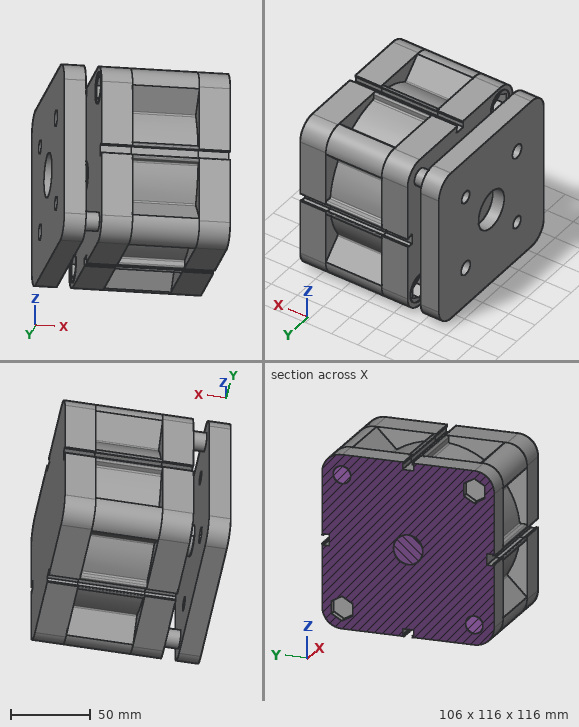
import cadquery as cq
import math


side = 116.0
half_side = side / 2
corner_radius = 13.6
corner_center = half_side - corner_radius

side_angles = (0, 90, 180, 270)
corner_angles = (45, 135, 225, 315)

plate_thickness = 13.9
plate_gap = 10.0
cap_thickness = 19.7
tube_length = 42.7
front_cap_x = plate_thickness + plate_gap
tube_x = front_cap_x + cap_thickness
rear_cap_x = tube_x + tube_length

recess_diameter = 28.3
recess_depth = 8.7
plate_hole_offset = 28.3
small_hole_diameter = 8.7
large_hole_diameter = 10.1

guide_diameter = 12.1

rod_diameter = 20.1
rod_chamfer = 0.5
flat_spacing = 16.8
flat_length = 9.2

screw_recess_diameter = 20.2
screw_recess_depth = 0.5
hex_across_flats = 13.9
hex_depth = 8.0
hex_turn = 30

slot_mouth = 5.8
slot_width = 7.2
slot_lip = 1.2
slot_depth = 5.0
slot_lip_round = 0.5

barrel_radius = 53.4
rib_width = 10.7
rib_top_round = 1.0
post_width = 21.0
root_fillet = 1.0


def sketch_at(x):
    """YZ workplane at the given X, with local x along +Y and local y along +Z."""
    return cq.Workplane("YZ", origin=(x, 0, 0))


def rounded_block(x, length):
    block = sketch_at(x).rect(side, side).extrude(length)
    return block.edges("|X").fillet(corner_radius)


def around_axis(shape, angles):
    """The shape copied about the X axis at each angle, joined into one cutter or blank."""
    joined = cq.Workplane("YZ")
    for angle in angles:
        joined = joined.add(shape.rotate((0, 0, 0), (1, 0, 0), angle))
    return joined.combine()


def side_slots(x, length):
    """Cutter for the slots in all four long sides."""
    mouth = sketch_at(x).center(0, half_side - slot_lip / 2).rect(slot_mouth, slot_lip).extrude(length)
    groove_height = slot_depth - slot_lip
    groove_center = half_side - slot_lip - groove_height / 2
    groove = sketch_at(x).center(0, groove_center).rect(slot_width, groove_height).extrude(length)
    return around_axis(mouth.union(groove), side_angles)


def diagonal_points(offset, sign):
    """Two opposite (Y, Z) points; sign +1 puts Y and Z on the same side, -1 on opposite sides."""
    return [(offset, sign * offset), (-offset, -sign * offset)]


guide_points = diagonal_points(corner_center, 1)
screw_points = diagonal_points(corner_center, -1)


def make_guide_plate():
    """Front plate carrying both guide rods."""
    plate = rounded_block(0, plate_thickness)
    recess = sketch_at(0).circle(recess_diameter / 2).extrude(recess_depth)
    plate = plate.cut(recess)
    for diameter, sign in ((small_hole_diameter, 1), (large_hole_diameter, -1)):
        points = diagonal_points(plate_hole_offset, sign)
        holes = sketch_at(0).pushPoints(points).circle(diameter / 2).extrude(plate_thickness)
        plate = plate.cut(holes)
    guides = sketch_at(plate_thickness).pushPoints(guide_points).circle(guide_diameter / 2)
    return plate.union(guides.extrude(tube_x - plate_thickness))


def make_piston_rod():
    rod = sketch_at(plate_thickness).circle(rod_diameter / 2).extrude(tube_x - plate_thickness)
    rod = rod.faces("<X").chamfer(rod_chamfer)
    between_flats = sketch_at(plate_thickness).rect(flat_spacing, side).extrude(flat_length)
    flat_zone = sketch_at(plate_thickness).rect(side, side).extrude(flat_length)
    return rod.cut(flat_zone.cut(between_flats))


def make_cap(x):
    return rounded_block(x, cap_thickness).cut(side_slots(x, cap_thickness))


def make_front_cap():
    """Cap with bores for the piston rod and guide rods, and two recessed hex sockets."""
    cap = make_cap(front_cap_x)
    rod_bore = sketch_at(front_cap_x).circle(rod_diameter / 2).extrude(cap_thickness)
    guide_bores = sketch_at(front_cap_x).pushPoints(guide_points).circle(guide_diameter / 2)
    cap = cap.cut(rod_bore).cut(guide_bores.extrude(cap_thickness))
    recesses = sketch_at(front_cap_x).pushPoints(screw_points).circle(screw_recess_diameter / 2)
    cap = cap.cut(recesses.extrude(screw_recess_depth))
    hex_diameter = hex_across_flats / math.cos(math.pi / 6)
    socket = sketch_at(front_cap_x + screw_recess_depth).polygon(6, hex_diameter).extrude(hex_depth)
    socket = socket.rotate((0, 0, 0), (1, 0, 0), hex_turn)
    for y, z in screw_points:
        cap = cap.cut(socket.translate((0, y, z)))
    return cap


def long_edges(body, axis_distance):
    """Edges of the body parallel to X at this distance from the X axis."""
    tolerance = 0.01
    return [
        edge
        for edge in body.edges("|X").vals()
        if abs(math.hypot(edge.Center().y, edge.Center().z) - axis_distance) < tolerance
    ]


def make_tube():
    """Barrel with a slotted rib on each side and a round-ended post in each corner."""
    barrel = sketch_at(tube_x).circle(barrel_radius).extrude(tube_length)
    rib = sketch_at(tube_x).center(0, half_side / 2).rect(rib_width, half_side).extrude(tube_length)
    ribs = around_axis(rib, side_angles)

    half_post = post_width / 2
    post_center = corner_center * math.sqrt(2)
    post_shoulder = post_center + math.sqrt(corner_radius**2 - half_post**2)
    post = (
        sketch_at(tube_x)
        .moveTo(-half_post, 0)
        .lineTo(-half_post, post_shoulder)
        .threePointArc((0, post_center + corner_radius), (half_post, post_shoulder))
        .lineTo(half_post, 0)
        .close()
        .extrude(tube_length)
    )
    posts = around_axis(post, corner_angles)

    tube = barrel.union(ribs).union(posts)
    roots = long_edges(tube, barrel_radius)
    tube = tube.newObject(roots).fillet(root_fillet)
    rib_corners = long_edges(tube, math.hypot(half_side, rib_width / 2))
    tube = tube.newObject(rib_corners).fillet(rib_top_round)
    tube = tube.cut(side_slots(tube_x, tube_length))
    lip_corners = long_edges(tube, math.hypot(half_side, slot_mouth / 2))
    return tube.newObject(lip_corners).fillet(slot_lip_round)


guide_plate = make_guide_plate()
piston_rod = make_piston_rod()
front_cap = make_front_cap()
tube = make_tube()
rear_cap = make_cap(rear_cap_x)

result = cq.Compound.makeCompound(
    [guide_plate.val(), piston_rod.val(), front_cap.val(), tube.val(), rear_cap.val()]
)